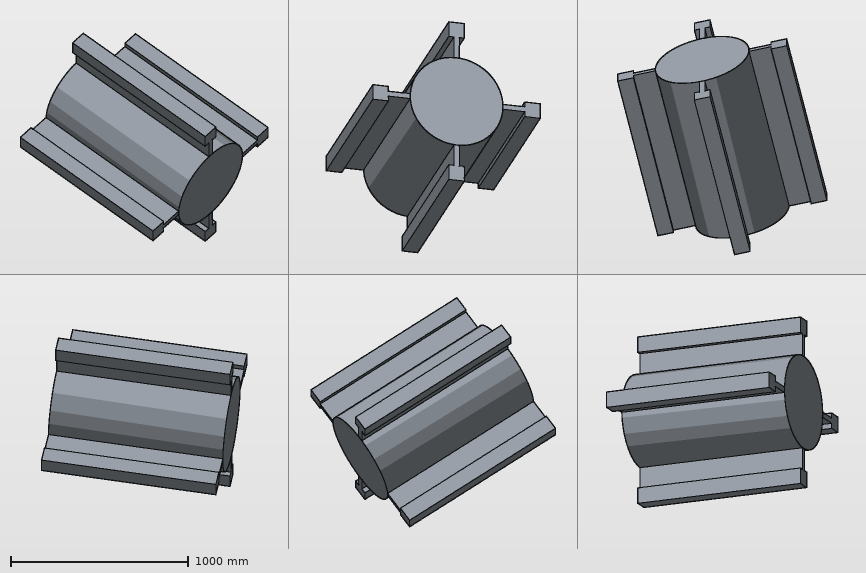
import cadquery as cq

overall_length = 1001.0
overall_span = 979.12
tube_outer_diameter = 544.0
tube_inner_diameter = 540.0
cap_thickness = 0.5
tube_length = overall_length - 2 * cap_thickness

fin_count = 4
fin_spacing = 360.0 / fin_count
web_thickness = 31.0
rail_size = 91.0
fin_tip_radius = overall_span / 2
fin_root_radius = (tube_inner_diameter + tube_outer_diameter) / 4


def make_fin(angle):
    """Web and rail standing on the tube, turned about the X axis."""
    web_height = fin_tip_radius - fin_root_radius
    web = cq.Workplane("XY").box(tube_length, web_thickness, web_height)
    web = web.translate((0, 0, fin_root_radius + web_height / 2))
    rail = cq.Workplane("XY").box(tube_length, rail_size, rail_size)
    rail = rail.translate((0, 0, fin_tip_radius - rail_size / 2))
    return web.union(rail).rotate((0, 0, 0), (1, 0, 0), angle)


def make_finned_tube():
    """Thin-walled tube with evenly spaced fins, as one solid."""
    body = (
        cq.Workplane("YZ")
        .circle(tube_outer_diameter / 2)
        .circle(tube_inner_diameter / 2)
        .extrude(tube_length / 2, both=True)
    )
    for index in range(fin_count):
        body = body.union(make_fin(index * fin_spacing))
    return body


def make_end_cap(start_x):
    """Flat disc covering one end of the tube, growing toward +X from start_x."""
    plane = cq.Workplane("YZ", origin=(start_x, 0, 0))
    return plane.circle(tube_outer_diameter / 2).extrude(cap_thickness)


finned_tube = make_finned_tube()
end_caps = [make_end_cap(start_x) for start_x in (-overall_length / 2, tube_length / 2)]

result = cq.Compound.makeCompound([finned_tube.solids().val(), *[cap.val() for cap in end_caps]])